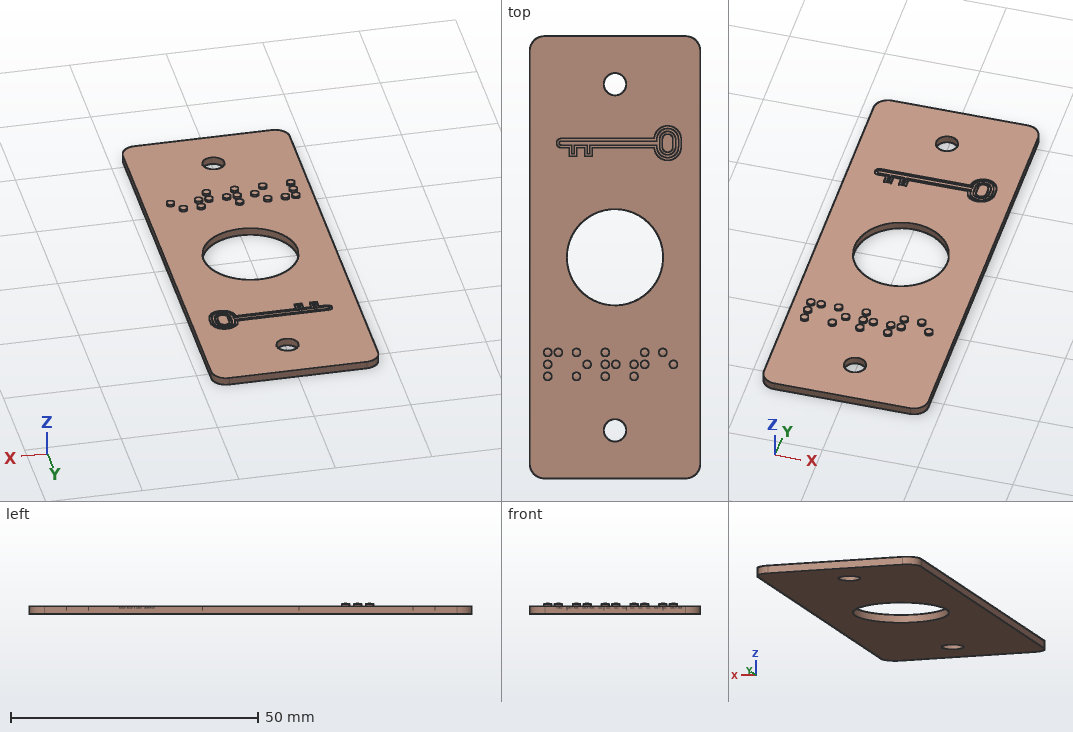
import cadquery as cq

plate_width = 34.6
plate_length = 89.6
plate_thickness = 1.6
corner_radius = 3.05

main_hole_diameter = 19.4
screw_hole_diameter = 4.5
screw_hole_offset = 35.0

dot_height = 0.57
dot_diameter = 1.6
dot_side_height = 0.45
dot_column_pitch = 2.15
dot_row_pitch = 2.4
cell_pitch = 5.8
first_dot_x = -13.6
first_dot_y = -19.3
braille_cells = [
    [(0, 0), (1, 0), (0, 1), (0, 2)],
    [(0, 0), (1, 1), (0, 2)],
    [(0, 0), (0, 1), (1, 1), (0, 2)],
    [(1, 0), (0, 1), (1, 1), (0, 2)],
    [(0, 0), (1, 1)],
]

groove_width = 0.5
groove_depth = 0.4
key_y = 23.1
key_tip_x = -11.8
shaft_width = 1.9
bow_x = 10.7
bow_width = 5.5
bow_height = 7.0
eye_width = 3.2
bit_centers_x = [-8.5, -5.4]
bit_width = 1.5
bit_end_y = 20.4


def make_plate():
    plate = cq.Workplane("XY").rect(plate_width, plate_length).extrude(plate_thickness)
    plate = plate.edges("|Z").fillet(corner_radius)
    plate = plate.faces(">Z").workplane().hole(main_hole_diameter)
    screw_holes = [(0, -screw_hole_offset), (0, screw_hole_offset)]
    return plate.faces(">Z").workplane().pushPoints(screw_holes).hole(screw_hole_diameter)


def groove_floor():
    """Workplane at the bottom of the key groove."""
    return cq.Workplane("XY", origin=(0, 0, plate_thickness - groove_depth))


def bow_block(inset):
    """Upright oval of the bow, shrunk by the inset on every side."""
    oval = groove_floor().center(bow_x, key_y)
    return oval.slot2D(bow_height - 2 * inset, bow_width - 2 * inset, 90).extrude(groove_depth)


def key_block(inset):
    """Solid key without its eye, shrunk by the inset on every side."""
    shaft_half = shaft_width / 2 - inset
    tip_x = key_tip_x + inset
    shaft_start = tip_x + shaft_half
    shaft = (
        groove_floor()
        .moveTo(shaft_start, key_y + shaft_half)
        .threePointArc((tip_x, key_y), (shaft_start, key_y - shaft_half))
        .lineTo(bow_x, key_y - shaft_half)
        .lineTo(bow_x, key_y + shaft_half)
        .close()
        .extrude(groove_depth)
    )
    key = shaft.union(bow_block(inset))
    bit_length = key_y - bit_end_y - inset
    for x in bit_centers_x:
        bit = groove_floor().center(x, key_y - bit_length / 2).rect(bit_width - 2 * inset, bit_length)
        key = key.union(bit.extrude(groove_depth))
    return key


def make_key_groove():
    outline = key_block(0).cut(key_block(groove_width))
    eye_inset = (bow_width - eye_width) / 2
    eye = bow_block(eye_inset).cut(bow_block(eye_inset + groove_width))
    return outline.union(eye)


def make_dot():
    radius = dot_diameter / 2
    top = plate_thickness + dot_height
    dome_height = dot_height - dot_side_height
    sphere_radius = (radius**2 + dome_height**2) / (2 * dome_height)
    sphere = cq.Workplane("XZ").sphere(sphere_radius).translate((0, 0, top - sphere_radius))
    return cq.Workplane("XY").circle(radius).extrude(top).intersect(sphere)


def make_braille():
    dot = make_dot()
    dots = cq.Workplane("XY")
    for cell_index, cell in enumerate(braille_cells):
        for column, row in cell:
            x = first_dot_x + cell_index * cell_pitch + column * dot_column_pitch
            y = first_dot_y - row * dot_row_pitch
            dots = dots.add(dot.translate((x, y, 0)))
    return dots.combine()


result = make_plate().cut(make_key_groove()).union(make_braille())